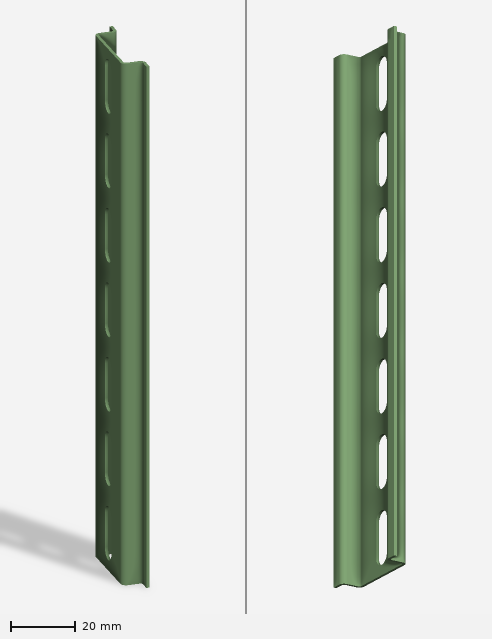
import cadquery as cq

LENGTH = 175.0
WIDTH = 35.0
DEPTH = 7.5
SHEET = 1.0
BASE_WIDTH = 27.0
INNER_RADIUS = 0.8
OUTER_RADIUS = INNER_RADIUS + SHEET

SLOT_COUNT = 7
SLOT_PITCH = LENGTH / SLOT_COUNT
SLOT_LENGTH = 18.0
SLOT_WIDTH = 6.1


def rail_blank():
    """Bent sheet: base at the front (-Y), flanges at the back (+Y)."""
    front = -DEPTH / 2
    back = DEPTH / 2
    outer_wall = BASE_WIDTH / 2
    inner_wall = outer_wall - SHEET
    edge = WIDTH / 2
    half_outline = [
        (0, front),
        (outer_wall, front),
        (outer_wall, back - SHEET),
        (edge, back - SHEET),
        (edge, back),
        (inner_wall, back),
        (inner_wall, front + SHEET),
        (0, front + SHEET),
    ]
    half = cq.Workplane("XY").polyline(half_outline).close().extrude(LENGTH)

    def bend(body, x, y, radius):
        corner = cq.selectors.BoxSelector(
            (x - SHEET / 4, y - SHEET / 4, 0),
            (x + SHEET / 4, y + SHEET / 4, LENGTH),
        )
        return body.edges("|Z").edges(corner).fillet(radius)

    half = bend(half, outer_wall, front, OUTER_RADIUS)
    half = bend(half, inner_wall, front + SHEET, INNER_RADIUS)
    half = bend(half, inner_wall, back, OUTER_RADIUS)
    half = bend(half, outer_wall, back - SHEET, INNER_RADIUS)
    return half.union(half.mirror("YZ")).clean().translate((0, 0, -LENGTH / 2))


def slot_cutters():
    """Round-ended slots, evenly spaced and centred on the length."""
    return (
        cq.Workplane("XZ")
        .rarray(1.8, SLOT_PITCH, 1, SLOT_COUNT)
        .slot2D(SLOT_LENGTH, SLOT_WIDTH, 90)
        .extrude(DEPTH, both=True)
    )


result = rail_blank().cut(slot_cutters())